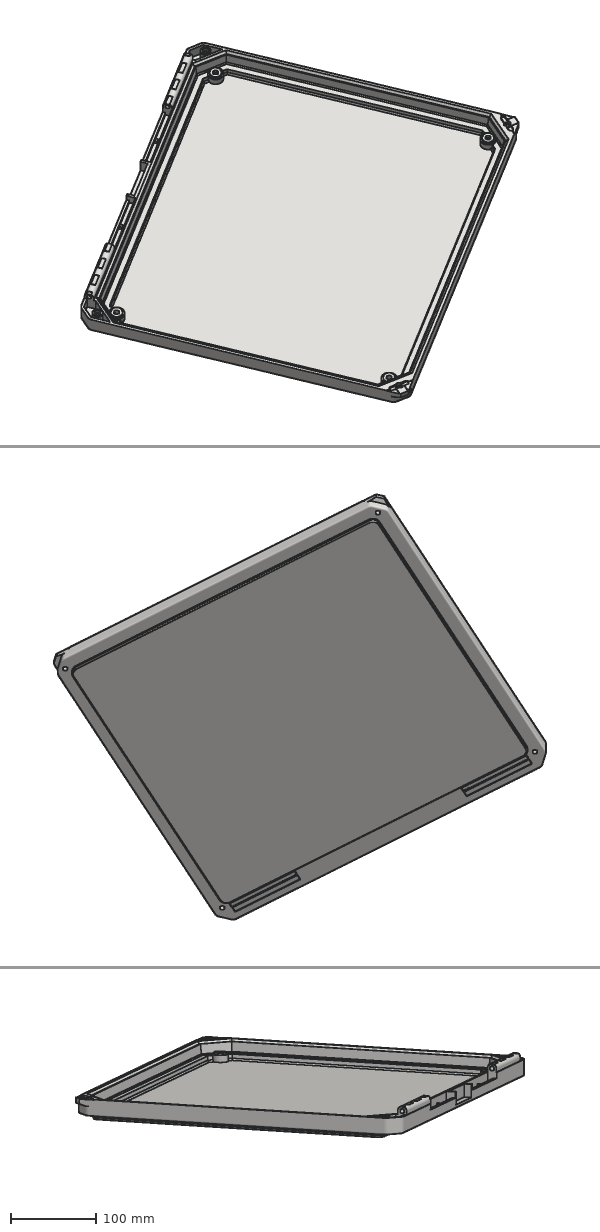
import cadquery as cq
import math

LENGTH_X = 405.5
LENGTH_Y = 446.5
RIM_Z = 27.0
SKIRT_Z = 6.5
LEFT_X = -LENGTH_X / 2
RIGHT_X = LENGTH_X / 2
FRONT_Y = -LENGTH_Y / 2
BACK_Y = LENGTH_Y / 2
CORNER_CHAMFER = 15.0
CORNER_RADIUS = 7.5
SKIRT_FILLET = 2.2

RING_X = 4.5
RING_WIDTH = 395.0
RING_LENGTH = 445.8
RING_CHAMFER = 33.0

FLOOR_Z = 4.0
LEDGE_Z = 11.0
WALL_PROFILE = [
    (3.0, RIM_Z),
    (6.3, 24.0),
    (7.5, 24.0),
    (9.0, 12.5),
    (10.5, LEDGE_Z),
    (18.0, LEDGE_Z),
    (18.5, 6.3),
    (20.0, FLOOR_Z),
]

LIP_X = 5.5
LIP_WIDTH = 365.5
LIP_LENGTH = 415.5
LIP_Z = 3.5
NECK_STEP = 1.0
LIP_CORNER_RADIUS = 10.0
LIP_BEVEL_HEIGHT = 2.5
LIP_BEVEL_WIDTH = 2.0

HINGE_RADIUS = 5.6
HINGE_SETBACK = 0.5
HINGE_TOP_Z = 36.5
HINGE_X = LEFT_X + HINGE_SETBACK + HINGE_RADIUS
HINGE_Z = HINGE_TOP_Z - HINGE_RADIUS
HINGE_START_Y = 112.5
HINGE_END_Y = 194.5
PIN_DIAMETER = 5.5
KNUCKLE_LENGTH = 11.5
KNUCKLE_GAP = 15.0
FIRST_KNUCKLE_Y = 125.0
KNUCKLE_COUNT = 3
FLAT_DEPTH = 0.65

LEAF_START_Y = 29.0
SHELF_Z = 19.5
SHELF_WIDTH = 3.5
GROOVE_Z = 15.5
GROOVE_BACK_X = LEFT_X + 11.0
PEG_SIZE = 3.5
PEG_X = HINGE_X
PEG_Y = 69.2

LATCH_WIDTH = 52.0
LATCH_DEPTH = 9.0
LATCH_Z = 11.0

RIB_END_Y = 200.5
HINGE_RIBS = [(10.3, 6.5, 5.5), (18.8, 5.0, 4.5)]

BOSS_X = 167.5
BOSS_Y = 193.5
BOSS_BASE_DIAMETER = 18.8
BOSS_TOP_DIAMETER = 14.5
BOSS_SHOULDER_Z = 12.5
BOSS_TOP_Z = 14.7
BOSS_HOLE_DIAMETER = 6.3

SCREW_X = 185.5
SCREW_Y = 211.3
SCREW_HOLE_DIAMETER = 5.5
SCREW_HEAD_DIAMETER = 8.0
SCREW_HEAD_DEPTH = 4.5
SCREW_POST_DIAMETER = 12.5

POCKET_Z = 12.5
POCKET_WALL = 3.5

TAB_CHAMFER = 7.0
TAB_WIDTH = 10.5
TAB_RELIEF_DEPTH = 0.5
TAB_ROOT_Z = 18.5
TAB_TIP_Z = 22.5
TAB_GROOVE_LENGTH = 25.0
TAB_GROOVE_WIDTH = 5.5
TAB_GROOVE_DEPTH = 2.2

SIDES = (-1, 1)
CORNERS = [(sx, sy) for sx in SIDES for sy in SIDES]


def box(x0, x1, y0, y1, z0, z1):
    return cq.Workplane("XY").box(x1 - x0, y1 - y0, z1 - z0, centered=False).translate((x0, y0, z0))


def cylinder(x, y, diameter, z0, z1):
    return cq.Workplane("XY", origin=(x, y, z0)).circle(diameter / 2).extrude(z1 - z0)


def ring_points(inset):
    """Corners of the ring outline moved inwards by the same distance on all eight sides."""
    half_x = RING_WIDTH / 2 - inset
    half_y = RING_LENGTH / 2 - inset
    leg = RING_CHAMFER - inset * (2 - math.sqrt(2))
    quarter = [(half_x, half_y - leg), (half_x - leg, half_y)]
    points = []
    for sx, sy in [(1, 1), (-1, 1), (-1, -1), (1, -1)]:
        pair = [(RING_X + sx * x, sy * y) for x, y in quarter]
        points += pair if sx == sy else pair[::-1]
    return points


def ring_layer(inset_low, z_low, inset_high, z_high):
    """Solid between two heights whose outline changes inset on the way up."""
    return (
        cq.Workplane("XY", origin=(0, 0, z_low))
        .polyline(ring_points(inset_low))
        .close()
        .workplane(offset=z_high - z_low)
        .polyline(ring_points(inset_high))
        .close()
        .loft(ruled=True, combine=True)
    )


def make_skirt():
    skirt = box(LEFT_X, RIGHT_X, FRONT_Y, BACK_Y, SKIRT_Z, RIM_Z)
    skirt = skirt.edges("|Z").chamfer(CORNER_CHAMFER)
    skirt = skirt.edges("|Z").fillet(CORNER_RADIUS)
    return skirt.faces("<Z").edges().fillet(SKIRT_FILLET)


def make_panel():
    half_x = LIP_WIDTH / 2
    half_y = LIP_LENGTH / 2
    lip = box(LIP_X - half_x, LIP_X + half_x, -half_y, half_y, 0, LIP_Z)
    lip = lip.edges("|Z").fillet(LIP_CORNER_RADIUS)
    lip = lip.faces("<Z").chamfer(LIP_BEVEL_HEIGHT, LIP_BEVEL_WIDTH)
    neck_x = half_x - NECK_STEP
    neck_y = half_y - NECK_STEP
    neck = box(LIP_X - neck_x, LIP_X + neck_x, -neck_y, neck_y, LIP_Z, SKIRT_Z)
    neck = neck.edges("|Z").fillet(LIP_CORNER_RADIUS - NECK_STEP)
    return lip.union(neck)


def make_cavity():
    cavity = None
    for (inset_high, z_high), (inset_low, z_low) in zip(WALL_PROFILE, WALL_PROFILE[1:]):
        if z_high == z_low:
            continue
        layer = ring_layer(inset_low, z_low, inset_high, z_high)
        cavity = layer if cavity is None else cavity.union(layer)
    return cavity


def make_tab(sy):
    """Corner overhang with a sloping underside that rises towards the corner."""
    size = 2 * CORNER_CHAMFER
    tab = box(RIGHT_X - size, RIGHT_X, BACK_Y - size, BACK_Y, SKIRT_Z, RIM_Z)
    tab = tab.edges("|Z and >X and >Y").chamfer(TAB_CHAMFER)
    reach = CORNER_CHAMFER / math.sqrt(2)
    side_profile = [
        (-reach, TAB_ROOT_Z),
        (0, TAB_ROOT_Z),
        (reach, TAB_TIP_Z),
        (reach, RIM_Z),
        (-reach, RIM_Z),
    ]
    root = cq.Plane(
        origin=(RIGHT_X - CORNER_CHAMFER / 2, BACK_Y - CORNER_CHAMFER / 2, 0),
        xDir=(1, 1, 0),
        normal=(1, -1, 0),
    )
    keep = cq.Workplane(root).polyline(side_profile).close().extrude(size, both=True)
    tab = tab.intersect(keep)
    return tab if sy > 0 else tab.mirror("XZ")


def make_hinge(sy):
    """Knuckle block with a pin hole; its crest is flattened between the round knuckles."""
    x0 = HINGE_X - HINGE_RADIUS
    x1 = HINGE_X + HINGE_RADIUS
    length = HINGE_END_Y - HINGE_START_Y
    axis = cq.Workplane("XZ", origin=(HINGE_X, HINGE_END_Y, HINGE_Z))
    block = box(x0, x1, HINGE_START_Y, HINGE_END_Y, RIM_Z, HINGE_Z)
    barrel = axis.circle(HINGE_RADIUS).extrude(length)
    flat = box(x0, x1, HINGE_START_Y, HINGE_END_Y, HINGE_TOP_Z - FLAT_DEPTH, HINGE_TOP_Z)
    for i in range(KNUCKLE_COUNT):
        y = FIRST_KNUCKLE_Y + i * (KNUCKLE_LENGTH + KNUCKLE_GAP)
        flat = flat.cut(box(x0, x1, y, y + KNUCKLE_LENGTH, RIM_Z, HINGE_TOP_Z))
    hinge = block.union(barrel).cut(flat)
    hinge = hinge.cut(axis.circle(PIN_DIAMETER / 2).extrude(length))
    return hinge if sy > 0 else hinge.mirror("XZ")


def cut_leaf_clearance(body, sy):
    """Shelf with a deeper groove behind it; a small peg stands in the groove."""
    y0, y1 = sorted((sy * LEAF_START_Y, sy * HINGE_START_Y))
    body = body.cut(box(LEFT_X, GROOVE_BACK_X, y0, y1, SHELF_Z, RIM_Z))
    groove = box(LEFT_X + SHELF_WIDTH, GROOVE_BACK_X, y0, y1, GROOVE_Z, SHELF_Z)
    half_peg = PEG_SIZE / 2
    peg_y = sy * PEG_Y
    peg = box(PEG_X - half_peg, PEG_X + half_peg, peg_y - half_peg, peg_y + half_peg, GROOVE_Z, SHELF_Z)
    return body.cut(groove.cut(peg))


def make_hinge_ribs(sy):
    y0, y1 = sorted((sy * HINGE_START_Y, sy * RIB_END_Y))
    ribs = None
    for start, width, z in HINGE_RIBS:
        rib = box(LEFT_X + start, LEFT_X + start + width, y0, y1, z, SKIRT_Z)
        ribs = rib if ribs is None else ribs.union(rib)
    return ribs


def make_corner_pocket(sy):
    """Hollow between the chamfered skirt corner and the diagonal ring wall."""
    reach = RING_CHAMFER * 2
    pocket = (
        box(LEFT_X, RIGHT_X, FRONT_Y, BACK_Y, POCKET_Z, RIM_Z)
        .edges("|Z")
        .chamfer(CORNER_CHAMFER)
        .faces(">Z")
        .wires()
        .toPending()
        .workplane()
        .offset2D(-POCKET_WALL)
        .extrude(POCKET_Z - RIM_Z, combine=False)
    )
    corner = box(LEFT_X, LEFT_X + reach, HINGE_END_Y, BACK_Y, POCKET_Z, RIM_Z)
    pocket = pocket.intersect(corner).cut(ring_layer(0, POCKET_Z, 0, RIM_Z))
    return pocket if sy > 0 else pocket.mirror("XZ")


def make_tab_groove(sy):
    return (
        cq.Workplane("XY", origin=(RING_X + SCREW_X, sy * SCREW_Y, RIM_Z))
        .transformed(rotate=(0, 0, -45 * sy))
        .slot2D(TAB_GROOVE_LENGTH, TAB_GROOVE_WIDTH)
        .extrude(-TAB_GROOVE_DEPTH)
    )


def make_tab_relief(sy):
    """Shallow steps that leave the tab standing proud along the corner diagonal."""
    reach = 2 * CORNER_CHAMFER
    relief = box(0, reach, -reach, reach, -TAB_RELIEF_DEPTH, 0)
    relief = relief.cut(box(0, reach, -TAB_WIDTH / 2, TAB_WIDTH / 2, -TAB_RELIEF_DEPTH, 0))
    relief = relief.rotate((0, 0, 0), (0, 0, 1), 45 * sy)
    return relief.translate((RING_X + SCREW_X, sy * SCREW_Y, RIM_Z))


def make_boss(x, y):
    boss = cylinder(x, y, BOSS_BASE_DIAMETER, LIP_Z, BOSS_SHOULDER_Z)
    upper = cylinder(x, y, BOSS_TOP_DIAMETER, BOSS_SHOULDER_Z, BOSS_TOP_Z)
    return boss.union(upper).cut(cylinder(x, y, BOSS_HOLE_DIAMETER, FLOOR_Z, BOSS_TOP_Z))


body = make_skirt()
for sy in SIDES:
    body = body.union(make_tab(sy))
body = body.union(make_panel()).cut(make_cavity())

for sy in SIDES:
    body = cut_leaf_clearance(body, sy)
    body = body.cut(make_corner_pocket(sy))
    body = body.cut(make_tab_relief(sy))
    body = body.cut(make_tab_groove(sy))
    body = body.union(make_hinge(sy))
    body = body.union(make_hinge_ribs(sy))
half_latch = LATCH_WIDTH / 2
body = body.cut(box(LEFT_X, LEFT_X + LATCH_DEPTH, -half_latch, half_latch, LATCH_Z, RIM_Z))

for sx, sy in CORNERS:
    body = body.union(make_boss(RING_X + sx * BOSS_X, sy * BOSS_Y))
    x = RING_X + sx * SCREW_X
    y = sy * SCREW_Y
    if sx < 0:
        body = body.union(cylinder(x, y, SCREW_POST_DIAMETER, SKIRT_Z, RIM_Z))
    body = body.cut(cylinder(x, y, SCREW_HOLE_DIAMETER, SKIRT_Z, RIM_Z))
    body = body.cut(cylinder(x, y, SCREW_HEAD_DIAMETER, RIM_Z - SCREW_HEAD_DEPTH, RIM_Z))

result = body